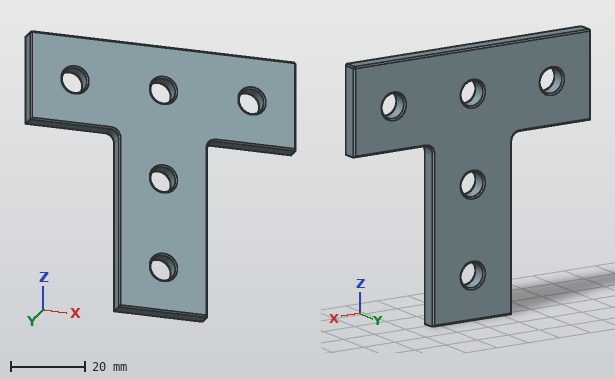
import cadquery as cq

span = 76.0
thickness = 4.8
arm_width = span / 3
inner_radius = 2.5
edge_chamfer = 0.45
hole_diameter = 7.1

half_span = span / 2
half_arm = arm_width / 2
bar_bottom = half_span - arm_width
hole_pitch = arm_width
bar_hole_z = half_span - half_arm
hole_centres = [
    (-hole_pitch, bar_hole_z),
    (0, bar_hole_z),
    (hole_pitch, bar_hole_z),
    (0, bar_hole_z - hole_pitch),
    (0, bar_hole_z - 2 * hole_pitch),
]


def make_blank():
    """T-shaped plate centred on the origin, with rounded inner corners."""
    outline = [
        (-half_span, half_span),
        (half_span, half_span),
        (half_span, bar_bottom),
        (half_arm, bar_bottom),
        (half_arm, -half_span),
        (-half_arm, -half_span),
        (-half_arm, bar_bottom),
        (-half_span, bar_bottom),
    ]
    back_face = cq.Workplane("XZ", origin=(0, thickness / 2, 0))
    blank = back_face.polyline(outline).close().extrude(thickness)
    inner_corners = cq.selectors.BoxSelector(
        (-arm_width, -thickness, bar_bottom - half_arm / 2),
        (arm_width, thickness, bar_bottom + half_arm / 2),
    )
    return blank.edges("|Y").edges(inner_corners).fillet(inner_radius)


def drill_holes(plate):
    """Through holes along the bar and down the stem."""
    drills = (
        cq.Workplane("XZ", origin=(0, thickness, 0))
        .pushPoints(hole_centres)
        .circle(hole_diameter / 2)
        .extrude(2 * thickness)
    )
    return plate.cut(drills)


def chamfer_top_corners(plate):
    """Bevel the two upper corners of the bar through the thickness."""
    return plate.faces(">Z").edges("|Y").chamfer(edge_chamfer)


def chamfer_faces(plate):
    """Bevel both faces around the outline and around every hole."""
    return plate.faces("<Y or >Y").edges().chamfer(edge_chamfer)


result = chamfer_faces(drill_holes(chamfer_top_corners(make_blank())))